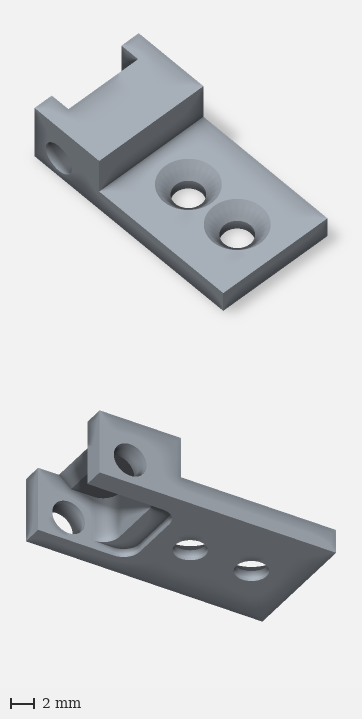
import cadquery as cq

length = 23.2
width = 12.0
height = 6.3
plate_thickness = 2.32
block_length = 7.95

pin_diameter = 3.2
pin_x = 3.0
pin_z = 2.32

cheek_thickness = 2.0
pocket_width = width - 2 * cheek_thickness
pocket_radius = 1.6
pocket_depth = 7.0
roof_edge_x = 2.05
ceiling_z = 5.27
roof_bevel_length = 1.18
relief_height = 0.81
relief_depth = 9.0

screw_diameter = 3.0
sink_diameter = 5.61
sink_angle = 90
screw_count = 2
screw_spacing = 6.0
first_screw_x = 12.5


def make_body():
    """Flat plate with a taller hinge block at the -X end."""
    outline = [
        (0, 0),
        (length, 0),
        (length, plate_thickness),
        (block_length, plate_thickness),
        (block_length, height),
        (0, height),
    ]
    return cq.Workplane("XZ").polyline(outline).close().extrude(width / 2, both=True)


def make_slot(depth, slot_height):
    """Upright cutter open at -X, with rounded vertical corners at its inner end."""
    return (
        cq.Workplane("XY")
        .box(depth, pocket_width, slot_height, centered=(False, True, False))
        .edges("|Z and >X")
        .fillet(pocket_radius)
    )


def make_pocket():
    """Slot under a roof beveled to a sharp front edge, with a deeper relief along its bottom."""
    side = [
        (0, 0),
        (pocket_depth, 0),
        (pocket_depth, ceiling_z),
        (roof_edge_x + roof_bevel_length, ceiling_z),
        (roof_edge_x, height),
        (0, height),
    ]
    roof_limit = cq.Workplane("XZ").polyline(side).close().extrude(width / 2, both=True)
    slot = make_slot(pocket_depth, height).intersect(roof_limit)
    return slot.union(make_slot(relief_depth, relief_height))


def cut_pin_hole(body):
    pin = cq.Workplane("XZ").center(pin_x, pin_z).circle(pin_diameter / 2).extrude(width, both=True)
    return body.cut(pin)


def cut_screw_holes(body):
    centres = [(first_screw_x + i * screw_spacing, 0) for i in range(screw_count)]
    plate_top = body.copyWorkplane(cq.Workplane("XY", origin=(0, 0, plate_thickness)))
    return plate_top.pushPoints(centres).cskHole(screw_diameter, sink_diameter, sink_angle)


result = cut_screw_holes(cut_pin_hole(make_body().cut(make_pocket())))